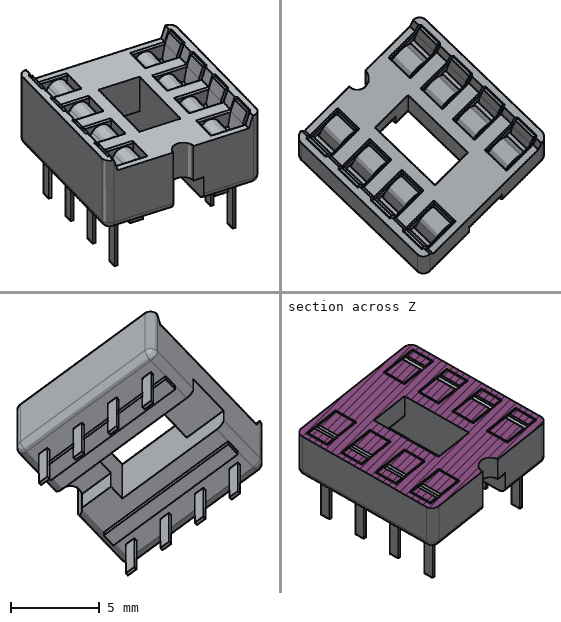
import cadquery as cq
import math

LENGTH = 10.16
WIDTH = 10.0
BODY_HEIGHT = 4.77
DECK_Z = 3.97
EDGE_RADIUS = 0.5

WALL_TOP_Y = 4.49
WALL_FOOT_Y = 4.23

WINDOW_LENGTH = 4.73
CHANNEL_WIDTH = 2.64
CHANNEL_HEIGHT = 1.6
STOP_EDGE_Y = -0.31

KEY_RADIUS = 0.65

BAR_INNER_Y = 2.32
BAR_WIDTH = 0.85
BAR_HEIGHT = 0.35
BAR_LENGTH = LENGTH - 2 * EDGE_RADIUS

PITCH = 2.54
PINS_PER_ROW = 4
ROW_Y = 1.5 * PITCH
PIN_WIDTH = 0.63
PIN_THICKNESS = 0.19
PIN_LENGTH = 3.33

POCKET_WIDTH = 1.51
POCKET_INNER_Y = 2.1
POCKET_OUTER_Y = 4.61
POCKET_FLOOR_Z = 2.95
POCKET_CHAMFER = 0.1

RIM_MATCH_DISTANCE = 0.01

CONTACT_WIDTH = 1.4
BLADE_TOP_Z = 4.69
BLADE_BACK_Y = 4.57
BLADE_TOP_Y = 4.41
BLADE_BEND_Y = 4.16
BLADE_FOOT_Y = 3.97
SPRING_CREST_Y = 2.8
SPRING_CREST_Z = 3.86
SPRING_RADIUS = 0.66
SPRING_FOOT_Y = 3.73

PIN_XS = [PITCH * (i - (PINS_PER_ROW - 1) / 2) for i in range(PINS_PER_ROW)]
ROW_SIDES = (1, -1)


def box(x0, x1, y0, y1, z0, z1):
    """Axis-aligned box between two opposite corners."""
    return cq.Workplane("XY").box(x1 - x0, y1 - y0, z1 - z0, centered=False).translate((x0, y0, z0))


def side_profile(x_center, width):
    """YZ sketch plane whose extrusion of the given width is centred on x_center."""
    return cq.Workplane("YZ").workplane(offset=x_center - width / 2)


def make_housing():
    """Rounded block with a low deck between two leaning side walls."""
    block = cq.Workplane("XY").box(LENGTH, WIDTH, BODY_HEIGHT, centered=(True, True, False))
    block = block.edges("|Z").fillet(EDGE_RADIUS)
    block = block.faces("<Z").edges().fillet(EDGE_RADIUS)
    trough = side_profile(0, LENGTH).polyline([
        (-WALL_TOP_Y, BODY_HEIGHT),
        (-WALL_FOOT_Y, DECK_Z),
        (WALL_FOOT_Y, DECK_Z),
        (WALL_TOP_Y, BODY_HEIGHT),
    ]).close().extrude(LENGTH)
    return block.cut(trough)


def pocket_box(x_center, side):
    """Space of one contact pocket, open upward."""
    y0, y1 = sorted((side * POCKET_INNER_Y, side * POCKET_OUTER_Y))
    half = POCKET_WIDTH / 2
    return box(x_center - half, x_center + half, y0, y1, POCKET_FLOOR_Z, BODY_HEIGHT)


def chamfer_pockets(body):
    """Chamfer the pocket sides along the deck and wall, and the inner end on the +Y row only."""
    deck_mid_y = (POCKET_INNER_Y + WALL_FOOT_Y) / 2
    wall_mid_y = (WALL_FOOT_Y + WALL_TOP_Y) / 2
    wall_mid_z = (DECK_Z + BODY_HEIGHT) / 2
    rim_points = []
    for x in PIN_XS:
        rim_points.append((x, POCKET_INNER_Y, DECK_Z))
        for side in ROW_SIDES:
            for rim_x in (x - POCKET_WIDTH / 2, x + POCKET_WIDTH / 2):
                rim_points.append((rim_x, side * deck_mid_y, DECK_Z))
                rim_points.append((rim_x, side * wall_mid_y, wall_mid_z))
    rim_vectors = [cq.Vector(*point) for point in rim_points]
    rim_edges = []
    for edge in body.edges().vals():
        if any((edge.Center() - rim).Length < RIM_MATCH_DISTANCE for rim in rim_vectors):
            rim_edges.append(edge)
    return body.newObject(rim_edges).chamfer(POCKET_CHAMFER)


def make_contact(x_center, side):
    """Blade and spring of one contact, both standing on the pocket floor."""
    blade = side_profile(x_center, CONTACT_WIDTH).polyline([
        (side * BLADE_BACK_Y, POCKET_FLOOR_Z),
        (side * BLADE_BACK_Y, BLADE_TOP_Z),
        (side * BLADE_TOP_Y, BLADE_TOP_Z),
        (side * BLADE_BEND_Y, DECK_Z),
        (side * BLADE_FOOT_Y, POCKET_FLOOR_Z),
    ]).close().extrude(CONTACT_WIDTH)

    center_z = SPRING_CREST_Z - SPRING_RADIUS
    foot_dy = SPRING_FOOT_Y - SPRING_CREST_Y
    foot_dz = POCKET_FLOOR_Z - center_z
    tangent_angle = math.atan2(foot_dz, foot_dy) + math.acos(SPRING_RADIUS / math.hypot(foot_dy, foot_dz))
    tangent_y = SPRING_CREST_Y + SPRING_RADIUS * math.cos(tangent_angle)
    tangent_z = center_z + SPRING_RADIUS * math.sin(tangent_angle)
    inner_y = SPRING_CREST_Y - SPRING_RADIUS
    spring = (
        side_profile(x_center, CONTACT_WIDTH)
        .moveTo(side * SPRING_FOOT_Y, POCKET_FLOOR_Z)
        .lineTo(side * tangent_y, tangent_z)
        .threePointArc((side * SPRING_CREST_Y, SPRING_CREST_Z), (side * inner_y, center_z))
        .lineTo(side * inner_y, POCKET_FLOOR_Z)
        .close()
        .extrude(CONTACT_WIDTH)
    )
    return blade.union(spring)


def make_pin(x_center, side):
    """Flat pin that hangs below the body."""
    pin = cq.Workplane("XY").box(PIN_WIDTH, PIN_THICKNESS, PIN_LENGTH, centered=(True, True, False))
    return pin.translate((x_center, side * ROW_Y, -PIN_LENGTH))


def make_standoff(side):
    """Bar under the body, just inside one row of pins."""
    y0, y1 = sorted((side * BAR_INNER_Y, side * (BAR_INNER_Y + BAR_WIDTH)))
    return box(-BAR_LENGTH / 2, BAR_LENGTH / 2, y0, y1, -BAR_HEIGHT, 0)


def cut_openings(body):
    """Cut the centre window, the channel with its partly closed +X end, and the key notch."""
    half_window = WINDOW_LENGTH / 2
    half_channel = CHANNEL_WIDTH / 2
    window = box(-half_window, half_window, -half_channel, half_channel, 0, DECK_Z)
    open_end = box(-LENGTH / 2, half_window, -half_channel, half_channel, 0, CHANNEL_HEIGHT)
    narrow_end = box(half_window, LENGTH / 2, STOP_EDGE_Y, half_channel, 0, CHANNEL_HEIGHT)
    key = cq.Workplane("XY").center(LENGTH / 2, 0).circle(KEY_RADIUS).extrude(DECK_Z)
    return body.cut(window).cut(open_end).cut(narrow_end).cut(key)


result = make_housing()
for row_side in ROW_SIDES:
    for pin_x in PIN_XS:
        result = result.cut(pocket_box(pin_x, row_side))
result = chamfer_pockets(result)
result = cut_openings(result)
for row_side in ROW_SIDES:
    result = result.union(make_standoff(row_side))
    for pin_x in PIN_XS:
        result = result.union(make_contact(pin_x, row_side))
        result = result.union(make_pin(pin_x, row_side))